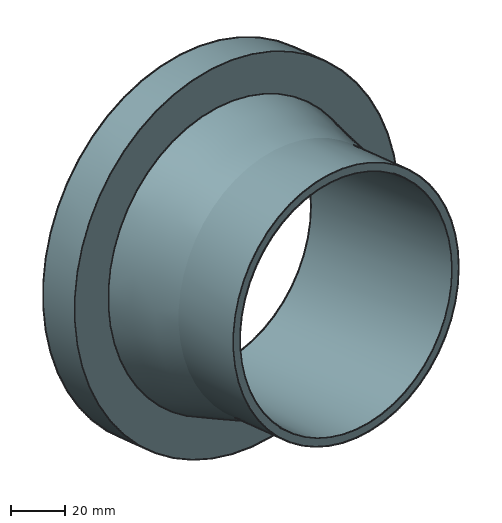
import cadquery as cq

total_length = 80.0
flange_diameter = 158.0
flange_thickness = 18.0
neck_base_diameter = 125.1
neck_length = 31.0
spigot_diameter = 110.0
bore_diameter = 103.2

flange_radius = flange_diameter / 2
neck_base_radius = neck_base_diameter / 2
spigot_radius = spigot_diameter / 2
bore_radius = bore_diameter / 2
neck_end = flange_thickness + neck_length

half_section = (
    cq.Workplane("XY")
    .moveTo(0, bore_radius)
    .lineTo(0, flange_radius)
    .lineTo(flange_thickness, flange_radius)
    .lineTo(flange_thickness, neck_base_radius)
    .lineTo(neck_end, spigot_radius)
    .lineTo(total_length, spigot_radius)
    .lineTo(total_length, bore_radius)
    .close()
)

result = half_section.revolve(360, (0, 0, 0), (1, 0, 0))